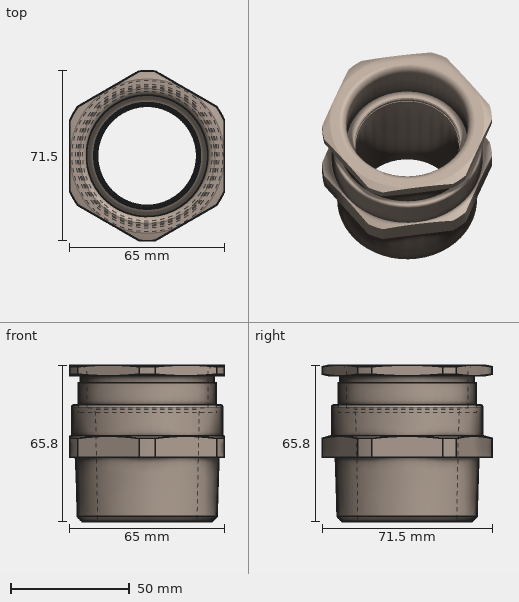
import cadquery as cq
import math

across_flats = 65.0
corner_diameter = 71.5

hex_bottom_z = 27.0
hex_top_z = 36.0
rim_z = 49.0
spigot_top_radius = 30.15
spigot_bottom_radius = 29.4
spigot_chamfer = 2.2
collar_radius = 31.75
collar_fillet = 1.0
hex_chamfer_start_radius = 32.0
hex_chamfer_drop = 1.05

throat_radius = 21.75
throat_height = 2.25
bore_bottom_radius = 20.85

nut_bottom_z = 46.0
sleeve_top_z = 58.25
flange_bottom_z = 61.25
nut_top_z = 65.75
sleeve_radius = 29.0
neck_radius = 28.2
flange_chamfer_start_radius = 32.4
flange_chamfer_drop = 0.7

nut_bore_radius = 25.5
mouth_radius = 3.0
lip_thickness = 1.75
lip_radius = 21.95
lip_chamfer = 0.45


def revolve_profile(profile):
    """Turn a half section, drawn as (radius, height), about the Z axis."""
    return profile.close().revolve(360, (0, 0, 0), (0, 1, 0))


def hex_blank(bottom_z, top_z, start_radius, top_drop, bottom_drop):
    """Hexagon with flats on +X and -X, its corners turned round and its end faces coned.

    Each cone runs from start_radius out to the corners, where it has dropped by the given amount;
    a bottom_drop of zero leaves the lower face flat.
    """
    corner_radius = corner_diameter / 2
    hexagon = (
        cq.Workplane("XY", origin=(0, 0, bottom_z))
        .polygon(6, across_flats / math.cos(math.pi / 6))
        .extrude(top_z - bottom_z)
        .rotate((0, 0, 0), (0, 0, 1), 30)
    )
    profile = cq.Workplane("XZ").moveTo(0, bottom_z)
    if bottom_drop > 0:
        profile = profile.lineTo(start_radius, bottom_z)
    envelope = revolve_profile(
        profile.lineTo(corner_radius, bottom_z + bottom_drop)
        .lineTo(corner_radius, top_z - top_drop)
        .lineTo(start_radius, top_z)
        .lineTo(0, top_z)
    )
    return hexagon.intersect(envelope)


def make_body():
    spigot = revolve_profile(
        cq.Workplane("XZ")
        .lineTo(spigot_bottom_radius - spigot_chamfer, 0)
        .lineTo(spigot_bottom_radius, spigot_chamfer)
        .lineTo(spigot_top_radius, hex_bottom_z)
        .lineTo(0, hex_bottom_z)
    )
    hexagon = hex_blank(hex_bottom_z, hex_top_z, hex_chamfer_start_radius, hex_chamfer_drop, 0)
    collar = (
        cq.Workplane("XY", origin=(0, 0, hex_top_z))
        .circle(collar_radius)
        .extrude(rim_z - hex_top_z)
        .faces(">Z")
        .edges()
        .fillet(collar_fillet)
    )
    bore = revolve_profile(
        cq.Workplane("XZ")
        .lineTo(bore_bottom_radius, 0)
        .lineTo(throat_radius, nut_bottom_z - throat_height)
        .lineTo(throat_radius, nut_bottom_z)
        .lineTo(sleeve_radius, nut_bottom_z)
        .lineTo(sleeve_radius, rim_z)
        .lineTo(0, rim_z)
    )
    return spigot.union(hexagon).union(collar).cut(bore)


def make_nut():
    sleeve = revolve_profile(
        cq.Workplane("XZ")
        .moveTo(0, nut_bottom_z)
        .lineTo(sleeve_radius, nut_bottom_z)
        .lineTo(sleeve_radius, sleeve_top_z)
        .lineTo(neck_radius, sleeve_top_z)
        .lineTo(neck_radius, flange_bottom_z)
        .lineTo(0, flange_bottom_z)
    )
    flange = hex_blank(
        flange_bottom_z,
        nut_top_z,
        flange_chamfer_start_radius,
        flange_chamfer_drop,
        flange_chamfer_drop,
    )
    lip_top_z = nut_bottom_z + lip_thickness
    mouth_mid = mouth_radius * (1 - math.sqrt(0.5))
    bore = revolve_profile(
        cq.Workplane("XZ")
        .moveTo(0, nut_bottom_z)
        .lineTo(lip_radius, nut_bottom_z)
        .lineTo(lip_radius, lip_top_z - lip_chamfer)
        .lineTo(lip_radius + lip_chamfer, lip_top_z)
        .lineTo(nut_bore_radius, lip_top_z)
        .lineTo(nut_bore_radius, nut_top_z - mouth_radius)
        .threePointArc(
            (nut_bore_radius + mouth_mid, nut_top_z - mouth_mid),
            (nut_bore_radius + mouth_radius, nut_top_z),
        )
        .lineTo(0, nut_top_z)
    )
    return sleeve.union(flange).cut(bore)


body = make_body()
nut = make_nut()
result = cq.Compound.makeCompound([body.val(), nut.val()])